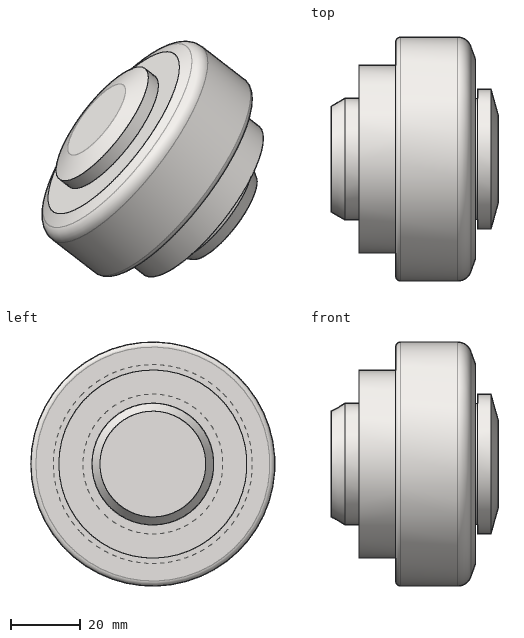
import cadquery as cq
import math

pin_radius = 35.0 / 2
hub_radius = 54 / 2
roller_radius = 70.1 / 2
neck_radius = 34.85 / 2
cap_radius = 40.2 / 2
cap_face_radius = 12.55

pin_length = 8.0
hub_length = 10.5
roller_width = 23.0
neck_length = 0.55
cap_rim_width = 3.85
cap_taper_length = 2.1

pin_chamfer_length = 4.0
pin_chamfer_angle = math.radians(30)
roller_small_round = 1.5
roller_large_round = 4.0
roller_taper_angle = math.radians(20)
roller_taper_length = 1.4

hub_start = pin_length
roller_start = hub_start + hub_length
roller_end = roller_start + roller_width
cap_start = roller_end + neck_length


def cylinder(start, length, radius):
    """Solid cylinder on the X axis, starting at the given X."""
    return cq.Workplane("YZ", origin=(start, 0, 0)).circle(radius).extrude(length)


def make_pin():
    """Pin with a conical lead-in at its free end."""
    chamfer_depth = pin_chamfer_length * math.tan(pin_chamfer_angle)
    pin = cylinder(0, pin_length, pin_radius)
    return pin.faces("<X").chamfer(pin_chamfer_length, chamfer_depth)


def make_roller():
    """Roller with a small round on one side and a large round into a tapered face on the other."""
    taper_start = roller_end - roller_taper_length
    round_center_x = taper_start - roller_large_round * math.cos(roller_taper_angle)
    round_center_r = roller_radius - roller_large_round

    def on_large_round(angle):
        x = round_center_x + roller_large_round * math.cos(angle)
        r = round_center_r + roller_large_round * math.sin(angle)
        return x, r

    mid_angle = (math.pi / 2 + roller_taper_angle) / 2
    round_end = on_large_round(roller_taper_angle)
    face_radius = round_end[1] - roller_taper_length / math.tan(roller_taper_angle)
    profile = (
        cq.Workplane("XY")
        .moveTo(roller_start, 0)
        .lineTo(roller_start, roller_radius)
        .lineTo(round_center_x, roller_radius)
        .threePointArc(on_large_round(mid_angle), round_end)
        .lineTo(roller_end, face_radius)
        .lineTo(roller_end, 0)
        .close()
    )
    roller = profile.revolve(360, (0, 0, 0), (1, 0, 0))
    return roller.faces("<X").edges().fillet(roller_small_round)


def make_cap():
    """Cap with a cylindrical rim and a taper down to a flat outer face."""
    cap = cylinder(cap_start, cap_rim_width + cap_taper_length, cap_radius)
    return cap.faces(">X").chamfer(cap_taper_length, cap_radius - cap_face_radius)


hub = cylinder(hub_start, hub_length, hub_radius)
neck = cylinder(roller_end, neck_length, neck_radius)

result = make_pin().union(hub).union(make_roller()).union(neck).union(make_cap())